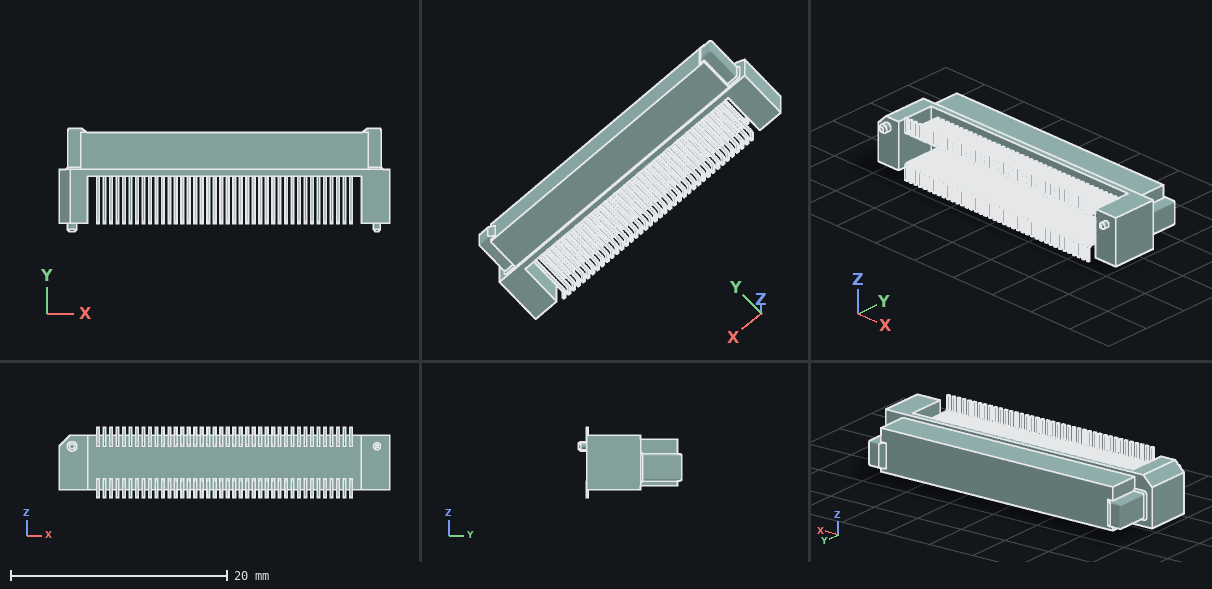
import cadquery as cq

LENGTH = 30.6
BODY_HEIGHT = 5.08
BODY_DEPTH = 5.0
ARM_WIDTH = 2.63
ARM_DEPTH = 4.35
CORNER_CHAMFER = 1.0

PLUG_LENGTH = 26.62
PLUG_HEIGHT = 4.3
PLUG_BACK = 8.4

POST_OUTER_X = 14.5
POST_INNER_X = 12.7
POST_TOP = 0.8
POST_BOTTOM = -1.7
POST_BACK = 8.8
POST_FILLET = 0.2
POST_FLARE = 0.2
POST_TIP_INNER_X = 13.28

PEG_X = 14.1
PEG_Z = 1.5
PEG_LENGTH = 0.8
PEG_TIP_LENGTH = 0.25
PEG_TIP_INSET = 0.2
THICK_PEG_DIAMETER = 0.9
THIN_PEG_DIAMETER = 0.65

CONTACT_COUNT = 40
CONTACT_ROW_LENGTH = 23.4
CONTACT_WIDTH = 0.25
CONTACT_THICKNESS = 0.18
CONTACT_INNER_Z = 1.5
CONTACT_TIP_Z = 3.25
CONTACT_BEND_RADIUS = 0.4
CONTACT_FRONT = -0.045
CONTACT_EMBED = 0.15


def make_housing():
    """U-shaped housing with one upper corner cut off at the -X end."""
    body = cq.Workplane("XY").box(LENGTH, BODY_DEPTH, BODY_HEIGHT, centered=(True, False, True))
    body = body.edges("|Y and <X and >Z").chamfer(CORNER_CHAMFER)
    gap = cq.Workplane("XY").box(
        LENGTH - 2 * ARM_WIDTH, ARM_DEPTH, BODY_HEIGHT, centered=(True, False, True)
    )
    return body.cut(gap)


def make_plug():
    return (
        cq.Workplane("XY", origin=(0, BODY_DEPTH, 0))
        .box(PLUG_LENGTH, PLUG_BACK - BODY_DEPTH, PLUG_HEIGHT, centered=(True, False, True))
    )


def make_post():
    """Guide post at the +X end: rounded outer and tip edges, sloped inner side, flared root."""
    shank = (
        cq.Workplane("XY", origin=(0, 0, POST_BOTTOM))
        .moveTo(POST_INNER_X, BODY_DEPTH)
        .lineTo(POST_OUTER_X, BODY_DEPTH)
        .lineTo(POST_OUTER_X, POST_BACK)
        .lineTo(POST_TIP_INNER_X, POST_BACK)
        .lineTo(POST_INNER_X, PLUG_BACK)
        .close()
        .extrude(POST_TOP - POST_BOTTOM)
    )
    shank = shank.edges("|Y and >X").fillet(POST_FILLET)
    shank = shank.faces(">Y").edges("not <X").fillet(POST_FILLET)
    return shank.union(make_post_flare())


def make_post_flare():
    """45 degree collar where the post meets the wall; its inner end is buried in the plug block."""
    width = POST_OUTER_X - POST_INNER_X + 2 * POST_FLARE
    height = POST_TOP - POST_BOTTOM + 2 * POST_FLARE
    center_x = (POST_OUTER_X + POST_INNER_X) / 2
    center_z = (POST_TOP + POST_BOTTOM) / 2
    return (
        cq.Workplane("XZ", origin=(center_x, BODY_DEPTH, center_z))
        .sketch()
        .rect(width, height)
        .vertices()
        .fillet(POST_FILLET + POST_FLARE)
        .finalize()
        .extrude(-POST_FLARE, taper=45)
    )


def make_peg(x, diameter):
    return (
        cq.Workplane("XZ", origin=(x, 0, PEG_Z))
        .circle(diameter / 2)
        .extrude(PEG_LENGTH)
        .faces("<Y")
        .chamfer(PEG_TIP_LENGTH, PEG_TIP_INSET)
    )


def make_contact():
    """Upper contact: a leg running forward from the wall, then bent up into a foot."""
    leg_back = ARM_DEPTH + CONTACT_EMBED
    foot_back = CONTACT_FRONT + CONTACT_THICKNESS
    leg_top = CONTACT_INNER_Z + CONTACT_THICKNESS
    inner_radius = CONTACT_BEND_RADIUS - CONTACT_THICKNESS
    bend_y = CONTACT_FRONT + CONTACT_BEND_RADIUS
    bend_z = CONTACT_INNER_Z + CONTACT_BEND_RADIUS
    return (
        cq.Workplane("YZ")
        .moveTo(leg_back, CONTACT_INNER_Z)
        .lineTo(bend_y, CONTACT_INNER_Z)
        .radiusArc((CONTACT_FRONT, bend_z), CONTACT_BEND_RADIUS)
        .lineTo(CONTACT_FRONT, CONTACT_TIP_Z)
        .lineTo(foot_back, CONTACT_TIP_Z)
        .lineTo(foot_back, bend_z)
        .radiusArc((bend_y, leg_top), -inner_radius)
        .lineTo(leg_back, leg_top)
        .close()
        .extrude(CONTACT_WIDTH / 2, both=True)
    )


def make_contacts():
    """Both contact rows, mirrored about the mid plane."""
    pitch = CONTACT_ROW_LENGTH / (CONTACT_COUNT - 1)
    upper = make_contact()
    lower = upper.mirror("XY")
    contacts = []
    for index in range(CONTACT_COUNT):
        x = index * pitch - CONTACT_ROW_LENGTH / 2
        contacts.append(upper.translate((x, 0, 0)).val())
        contacts.append(lower.translate((x, 0, 0)).val())
    return contacts


post = make_post()
connector = (
    make_housing()
    .union(make_plug())
    .union(post)
    .union(post.mirror("YZ"))
    .union(make_peg(-PEG_X, THICK_PEG_DIAMETER))
    .union(make_peg(PEG_X, THIN_PEG_DIAMETER))
)
result = cq.Workplane("XY").add(connector.val().fuse(*make_contacts()))